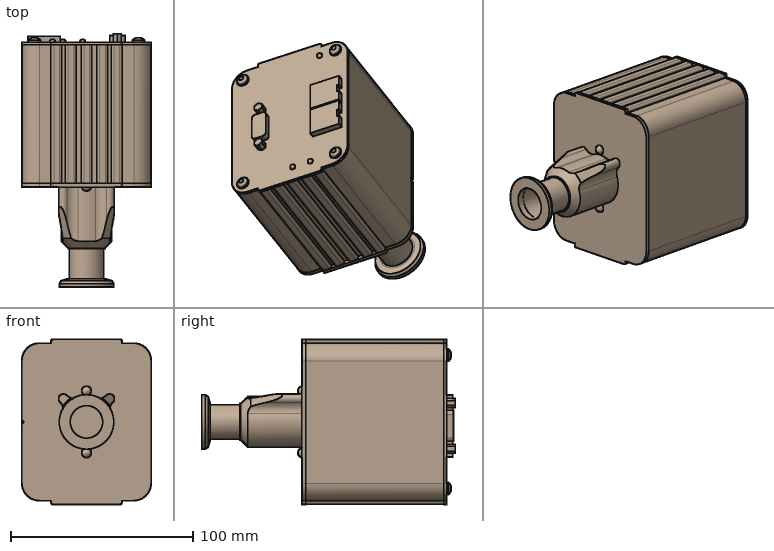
import cadquery as cq
import math


width = 71.2
height = 90.8
depth = 79.5
corner_radius = 9.7
front_plate = 2.1
rear_plate = 1.5
tab_width = 39.0
tab_height = 2.1
tab_fillet = 1.0
core_inset = 0.07
main_height = height - 2 * tab_height

rib_width = 5.8
rib_fillet = 1.4
outer_rib_x = (tab_width - rib_width) / 2
inner_rib_x = 8.6
rib_positions = [-outer_rib_x, -inner_rib_x, 0, inner_rib_x, outer_rib_x]

notch_half_height = 1.1
notch_depth = 1.3

nozzle_length = 55.0
barrel_radius = 28.0 / 2
barrel_length = 29.7
collar_radius = 20.3 / 2
collar_end = 34.0
tube_radius = 19.1 / 2
bore_diameter = 17.8
flange_radius = 30.0 / 2
flange_rim = 2.0
flange_bevel_radius = 13.9
flange_bevel_end = 3.6
flange_taper_radius = 10.6
flange_thickness = 4.6

lug_radius = 5.3 / 2
lug_distance = 18.0
lug_fillet = 5.7
lug_angle = 45
lug_straight_length = 10.7
lug_taper_end = 28.1

stud_diameter = 5.3
stud_height = 2.2
stud_z = 17.0

screw_diameter = 6.8
screw_step_diameter = 5.3
screw_flat_diameter = 2.5
screw_rim = 1.0
screw_step_height = 1.7
screw_height = 2.5
screw_x = 28.5
screw_z = 36.6

lamp_diameter = 3.0
lamp_height = 1.7
lamp_positions = [(-18.7, screw_z), (-13.0, -screw_z), (-2.1, -screw_z)]

connector_z = -2.2
jack_x = -23.3
jack_width = 17.8
jack_height = 16.7
jack_gap = 0.8
jack_depth = 3.3
jack_notch_height = 4.2
jack_notch_depth = 1.4
serial_x = 17.0
serial_width = 8.6
serial_height = 17.0
serial_depth = 3.8
serial_corner = 2.1
post_flats = 4.5
post_height = 4.7
post_spacing = 25.0


def facing_rear(y):
    """XZ sketch plane at the given Y: local x is +X, local y is +Z, normal is -Y."""
    return cq.Workplane("XZ", origin=(0, y, 0))


def block(x_size, z_size, x, z, y_start, length):
    """Box centred at (x, z) that runs from y_start toward +Y."""
    return facing_rear(y_start).center(x, z).rect(x_size, z_size).extrude(-length)


def main_box(y_start, length, inset=0):
    """Housing block with round corners, its outline pulled in by the inset."""
    box = block(width - 2 * inset, main_height - 2 * inset, 0, 0, y_start, length)
    return box.edges("|Y").fillet(corner_radius - inset)


def end_plate(y_start, thickness):
    tab = block(tab_width, height, 0, 0, y_start, thickness).edges("|Y").fillet(tab_fillet)
    return main_box(y_start, thickness).union(tab)


def housing():
    core_length = depth - front_plate - rear_plate
    body = main_box(front_plate, core_length, core_inset)
    for x in rib_positions:
        rib = block(rib_width, height - 2 * core_inset, x, 0, front_plate, core_length)
        body = body.union(rib.edges("|Y").fillet(rib_fillet))
    body = body.union(end_plate(0, front_plate))
    body = body.union(end_plate(depth - rear_plate, rear_plate))
    edge_x = -width / 2
    notch = (
        facing_rear(0)
        .moveTo(edge_x, -notch_half_height)
        .lineTo(edge_x + notch_depth, 0)
        .lineTo(edge_x, notch_half_height)
        .close()
        .extrude(-front_plate)
    )
    return body.cut(notch)


def revolve_about_y(points):
    """Solid of revolution about the Y axis from (radius, y) points."""
    return cq.Workplane("XY").polyline(points).close().revolve(360, (0, 0, 0), (0, 1, 0))


def lug_blend():
    """Foot, middle and shoulder of one blend arc, as (side, along) points.

    The lug points in the "along" direction. The arc touches the barrel and the lug circle from outside.
    """
    to_barrel = barrel_radius + lug_fillet
    to_lug = lug_radius + lug_fillet
    along = (to_barrel**2 - to_lug**2 + lug_distance**2) / (2 * lug_distance)
    side = math.sqrt(to_barrel**2 - along**2)
    foot = (side * barrel_radius / to_barrel, along * barrel_radius / to_barrel)
    share = lug_radius / to_lug
    shoulder = (side * share, lug_distance + (along - lug_distance) * share)
    chord_side = (foot[0] + shoulder[0]) / 2 - side
    chord_along = (foot[1] + shoulder[1]) / 2 - along
    reach = lug_fillet / math.hypot(chord_side, chord_along)
    waist = (side + chord_side * reach, along + chord_along * reach)
    return foot, waist, shoulder


def barrel():
    """Barrel with its two lugs, tapered toward the nozzle tip."""
    foot, waist, shoulder = lug_blend()
    tip_radius = lug_distance + lug_radius

    def on_lug(point, direction, mirror=1):
        """Place a (side, along) lug point on the lug tilted to the given X direction."""
        tilt = math.radians(lug_angle) * direction
        side = point[0] * mirror
        x = side * math.cos(tilt) + point[1] * math.sin(tilt)
        z = point[1] * math.cos(tilt) - side * math.sin(tilt)
        return (x, z)

    outline = facing_rear(0).moveTo(*on_lug(foot, -1, -1))
    for direction in (-1, 1):
        outline = (
            outline
            .threePointArc(on_lug(waist, direction, -1), on_lug(shoulder, direction, -1))
            .threePointArc(on_lug((0, tip_radius), direction), on_lug(shoulder, direction))
            .threePointArc(on_lug(waist, direction), on_lug(foot, direction))
        )
        if direction < 0:
            outline = outline.threePointArc((0, barrel_radius), on_lug(foot, 1, -1))
    outline = outline.threePointArc((0, -barrel_radius), on_lug(foot, -1, -1)).close()

    clear_radius = tip_radius + lug_radius
    cone_radius = barrel_radius + barrel_length - lug_taper_end
    envelope = revolve_about_y([
        (0, 0),
        (clear_radius, 0),
        (clear_radius, -lug_straight_length),
        (tip_radius, -lug_straight_length),
        (cone_radius, -lug_taper_end),
        (collar_radius, -lug_taper_end - cone_radius + collar_radius),
        (collar_radius, -collar_end),
        (0, -collar_end),
    ])
    return outline.extrude(collar_end).intersect(envelope)


def nozzle():
    flange_back = flange_thickness - nozzle_length
    tube = revolve_about_y([
        (0, 0),
        (tube_radius, 0),
        (tube_radius, flange_back),
        (flange_taper_radius, flange_back),
        (flange_bevel_radius, flange_bevel_end - nozzle_length),
        (flange_radius, flange_rim - nozzle_length),
        (flange_radius, -nozzle_length),
        (0, -nozzle_length),
    ])
    bore = facing_rear(0).circle(bore_diameter / 2).extrude(nozzle_length)
    return barrel().union(tube).cut(bore)


def dome(diameter, rise):
    """Spherical cap on the plane Y = 0, rising toward +Y."""
    base = diameter / 2
    sphere_radius = (base**2 + rise**2) / (2 * rise)
    diagonal = sphere_radius * math.sin(math.asin(base / sphere_radius) / 2)
    mid_rise = rise - sphere_radius + math.sqrt(sphere_radius**2 - diagonal**2)
    return (
        cq.Workplane("XY")
        .lineTo(base, 0)
        .threePointArc((diagonal, mid_rise), (0, rise))
        .close()
        .revolve(360, (0, 0, 0), (0, 1, 0))
    )


def screw_head():
    """Pan head on the plane Y = 0: straight rim, two conical steps, flat top."""
    return revolve_about_y([
        (0, 0),
        (screw_diameter / 2, 0),
        (screw_diameter / 2, screw_rim),
        (screw_step_diameter / 2, screw_step_height),
        (screw_flat_diameter / 2, screw_height),
        (0, screw_height),
    ])


def network_jack(z):
    jack = block(jack_width, jack_height, jack_x, z, depth, jack_depth)
    notch_x = jack_x - (jack_width - jack_notch_depth) / 2
    return jack.cut(block(jack_notch_depth, jack_notch_height, notch_x, z, depth, jack_depth))


def serial_port():
    """Rounded connector shell with a hexagonal post above and below it."""
    port = block(serial_width, serial_height, serial_x, connector_z, depth, serial_depth)
    port = port.edges("|Y").fillet(serial_corner)
    corner_diameter = post_flats / math.cos(math.radians(30))
    for side in (-1, 1):
        post = (
            facing_rear(depth)
            .center(serial_x, connector_z + side * post_spacing / 2)
            .transformed(rotate=(0, 0, 90))
            .polygon(6, corner_diameter)
            .extrude(-post_height)
        )
        port = port.union(post)
    return port


result = housing().union(nozzle())

stud = dome(stud_diameter, stud_height).rotate((0, 0, 0), (0, 0, 1), 180)
for side in (-1, 1):
    result = result.union(stud.translate((0, 0, side * stud_z)))

for x in (-screw_x, screw_x):
    for z in (-screw_z, screw_z):
        result = result.union(screw_head().translate((x, depth, z)))

for x, z in lamp_positions:
    result = result.union(dome(lamp_diameter, lamp_height).translate((x, depth, z)))
for side in (-1, 1):
    result = result.union(network_jack(connector_z + side * (jack_height + jack_gap) / 2))
result = result.union(serial_port())